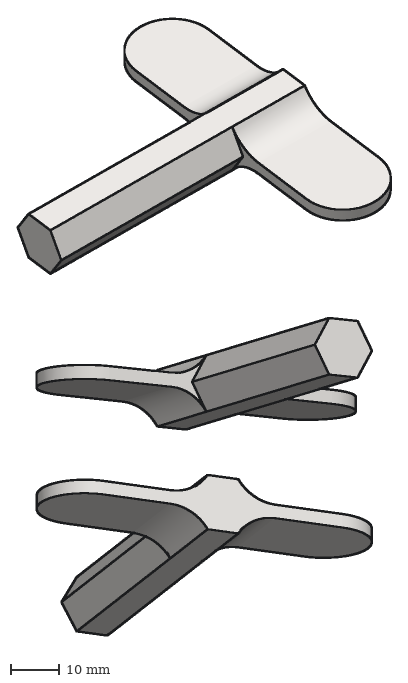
import cadquery as cq
import math

hex_across_corners = 13.8
shaft_length = 70.0

wing_reach = 30.0
wing_width = 20.0
wing_thickness = 3.0
blend_radius = 10.0

hex_sides = 6
hex_half_angle = math.pi / hex_sides
hex_corner_radius = hex_across_corners / 2
hex_half_flats = hex_corner_radius * math.cos(hex_half_angle)
hex_half_side = hex_corner_radius * math.sin(hex_half_angle)
wing_span = hex_across_corners + 2 * wing_reach
wing_half_thickness = wing_thickness / 2
wing_start = shaft_length - wing_width
wing_middle = shaft_length - wing_width / 2

blend_height = hex_half_flats - wing_half_thickness
blend_run = math.sqrt(blend_radius**2 - (blend_radius - blend_height) ** 2)
blend_outer_x = hex_half_side + blend_run
blend_mid_angle = math.acos((blend_radius - blend_height) / blend_radius) / 2
blend_mid_x = blend_outer_x - blend_radius * math.sin(blend_mid_angle)
blend_mid_z = wing_half_thickness + blend_radius * (1 - math.cos(blend_mid_angle))


def make_shaft():
    return cq.Workplane("XZ").polygon(hex_sides, hex_across_corners).extrude(-shaft_length)


def make_wings():
    return (
        cq.Workplane("XY", origin=(0, wing_middle, -wing_half_thickness))
        .slot2D(wing_span, wing_width)
        .extrude(wing_thickness)
    )


def make_blends():
    """Hub whose four concave flanks run from the wing faces to the hexagon corners."""
    return (
        cq.Workplane("XZ", origin=(0, wing_start, 0))
        .moveTo(hex_half_side, hex_half_flats)
        .threePointArc((blend_mid_x, blend_mid_z), (blend_outer_x, wing_half_thickness))
        .lineTo(blend_outer_x, -wing_half_thickness)
        .threePointArc((blend_mid_x, -blend_mid_z), (hex_half_side, -hex_half_flats))
        .lineTo(-hex_half_side, -hex_half_flats)
        .threePointArc((-blend_mid_x, -blend_mid_z), (-blend_outer_x, -wing_half_thickness))
        .lineTo(-blend_outer_x, wing_half_thickness)
        .threePointArc((-blend_mid_x, blend_mid_z), (-hex_half_side, hex_half_flats))
        .close()
        .extrude(-wing_width)
    )


result = make_shaft().union(make_wings()).union(make_blends())